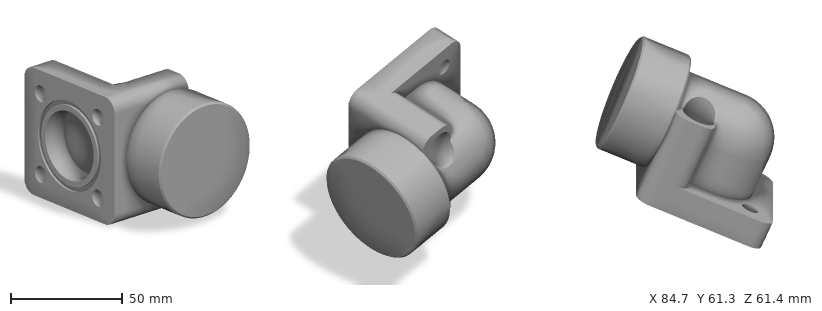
import cadquery as cq

overall_length = 84.7

flange_side = 61.4
flange_thickness = 13.1
corner_radius = 6.35

elbow_radius = 20.4
elbow_axis_y = 34.0

wall_width = 19.1
wall_height_y = 44.4

collar_radius = 27.3
collar_length = 23.7
collar_chamfer = 0.85
collar_end_x = overall_length - flange_side / 2

bore_radius = 16.5
bore_depth = 11.3
groove_inner_radius = 19.2
groove_outer_radius = 21.4
groove_depth = 1.3

bolt_offset = 19.5
bolt_hole_radius = 4.0
head_clearance_radius = 7.8


def cylinder_y(radius, start_y, end_y, x=0, z=0):
    """Cylinder parallel to Y, between two Y positions."""
    return cq.Workplane(cq.Solid.makeCylinder(
        radius, end_y - start_y, cq.Vector(x, start_y, z), cq.Vector(0, 1, 0)))


def cylinder_x(radius, start_x, end_x):
    """Cylinder on the axis of the X leg, between two X positions."""
    return cq.Workplane(cq.Solid.makeCylinder(
        radius, end_x - start_x, cq.Vector(start_x, elbow_axis_y, 0), cq.Vector(1, 0, 0)))


def rounded_block(width, depth, center_x):
    """Block rising from the flange face, with its corners along Y rounded."""
    return (
        cq.Workplane("XY")
        .box(width, depth, flange_side, centered=(True, False, True))
        .edges("|Y")
        .fillet(corner_radius)
        .translate((center_x, 0, 0))
    )


def half_disc(plane, center, bulge_point):
    """Half disc of the elbow radius, flat side along Z, bulging toward the given point."""
    return (
        cq.Workplane(plane, origin=center)
        .moveTo(0, -elbow_radius)
        .threePointArc(bulge_point, (0, elbow_radius))
        .close()
    )


flange = rounded_block(flange_side, flange_thickness, 0)
wall = rounded_block(wall_width, wall_height_y, (flange_side - wall_width) / 2)

collar_start_x = collar_end_x - collar_length
core_height_y = elbow_axis_y - flange_thickness
core = (
    cq.Workplane("XY")
    .box(collar_start_x, core_height_y, 2 * elbow_radius, centered=(False, False, True))
    .translate((0, flange_thickness, 0))
)
y_side = half_disc("XZ", (0, elbow_axis_y, 0), (-elbow_radius, 0)).extrude(core_height_y)
x_side = half_disc("YZ", (0, elbow_axis_y, 0), (elbow_radius, 0)).extrude(collar_start_x)
ball = half_disc("XZ", (0, elbow_axis_y, 0), (-elbow_radius, 0)).revolve(90, (0, 0), (0, -1))

body = flange.union(wall)
for piece in (core, y_side, x_side, ball):
    body = body.union(piece)

head_end_y = elbow_axis_y + elbow_radius
for z in (-bolt_offset, bolt_offset):
    for x in (-bolt_offset, bolt_offset):
        body = body.cut(cylinder_y(bolt_hole_radius, 0, flange_thickness, x, z))
    clearance = cylinder_y(head_clearance_radius, flange_thickness, head_end_y, bolt_offset, z)
    body = body.cut(clearance)

collar = cylinder_x(collar_radius, collar_start_x, collar_end_x).edges().chamfer(collar_chamfer)
body = body.union(collar)

groove = cylinder_y(groove_outer_radius, 0, groove_depth).cut(
    cylinder_y(groove_inner_radius, 0, groove_depth))
bore = cylinder_y(bore_radius, 0, bore_depth)
result = body.cut(groove).cut(bore)